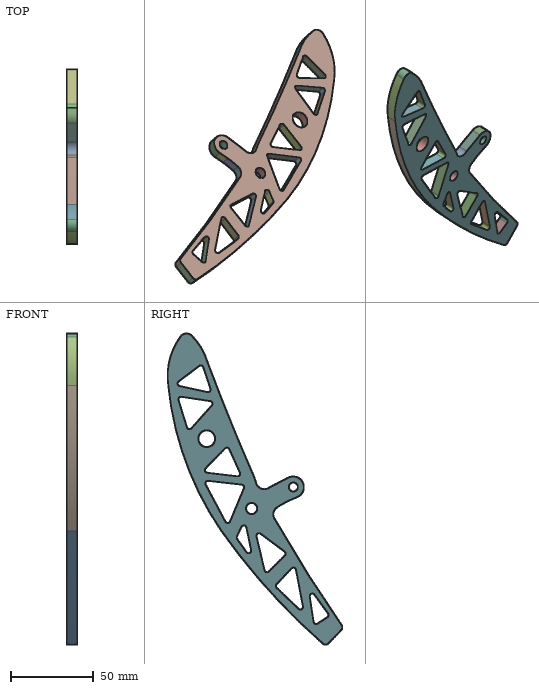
import cadquery as cq

THICKNESS = 6.5

LUG_CENTRE = (23.0, 1.3)
LUG_RADIUS = 6.5
ROUND_HOLES = [
    (LUG_CENTRE, 5.3),
    ((-2.3, -11.7), 6.6),
    ((-29.5, 30.6), 10.0),
]

WINDOW_CORNER_RADIUS = 1.5
WINDOWS = [
    [(-32.3, 76.0), (-49.2, 63.4), (-26.5, 58.5)],
    [(-24.5, 53.0), (-47.3, 56.4), (-40.7, 35.0)],
    [(-16.8, 26.3), (-32.3, 10.4), (-8.3, 7.5)],
    [(-6.2, 2.5), (-31.4, 5.3), (-16.6, -22.5)],
    [(-6.5, -19.0), (-11.5, -29.5), (-1.1, -44.0)],
    [(-0.2, -24.5), (6.2, -51.8), (19.1, -39.0)],
    [(24.0, -46.0), (12.0, -58.8), (29.7, -75.8)],
    [(32.2, -59.0), (35.7, -82.8), (45.0, -76.8)],
]

END_OUTER_CORNER = (42.7, -95.3)
END_INNER_CORNER = (53.5, -84.2)
END_CORNER_RADIUS = 2.3

TIP_INNER = (-38.4, 93.0)
TIP_OUTER = (-45.5, 92.5)


def plate(sketch):
    """Extrude a closed YZ profile symmetrically about X = 0."""
    return sketch.extrude(THICKNESS / 2, both=True)


def blade():
    """Solid blade with its side lug, before any openings are cut."""
    lug_y, lug_z = LUG_CENTRE
    outline = (
        cq.Workplane("YZ")
        .moveTo(*TIP_INNER)
        .threePointArc((-41.8, 94.5), TIP_OUTER)
        .threePointArc((-50.5, 83.6), (-53.0, 63.2))
        .threePointArc((-44.5, 22.7), (-20.8, -25.2))
        .threePointArc((5.7, -58.6), END_OUTER_CORNER)
        .lineTo(*END_INNER_CORNER)
        .lineTo(32.0, -51.6)
        .lineTo(11.5, -17.5)
        .threePointArc((11.2, -13.8), (13.5, -11.0))
        .threePointArc((16.8, -8.9), (20.5, -7.0))
        .lineTo(25.7, -4.7)
        .threePointArc((lug_y + LUG_RADIUS, lug_z), (20.2, 7.2))
        .lineTo(8.9, 1.3)
        .threePointArc((4.3, 0.2), (1.0, 2.6))
        .lineTo(-0.8, 7.5)
        .threePointArc((-15.1, 41.6), (-29.1, 77.5))
        .threePointArc((-33.3, 86.6), TIP_INNER)
        .close()
    )
    body = plate(outline)
    for y, z in (END_OUTER_CORNER, END_INNER_CORNER):
        corner_edge = cq.selectors.NearestToPointSelector((0, y, z))
        body = body.edges("|X").edges(corner_edge).fillet(END_CORNER_RADIUS)
    return body


def window(corners):
    """Triangular cutter with rounded corners."""
    triangle = plate(cq.Workplane("YZ").polyline(corners).close())
    return triangle.edges("|X").fillet(WINDOW_CORNER_RADIUS)


def round_hole(centre, diameter):
    """Cylindrical cutter."""
    return plate(cq.Workplane("YZ").center(*centre).circle(diameter / 2))


result = blade()
for window_corners in WINDOWS:
    result = result.cut(window(window_corners))
for hole_centre, hole_diameter in ROUND_HOLES:
    result = result.cut(round_hole(hole_centre, hole_diameter))